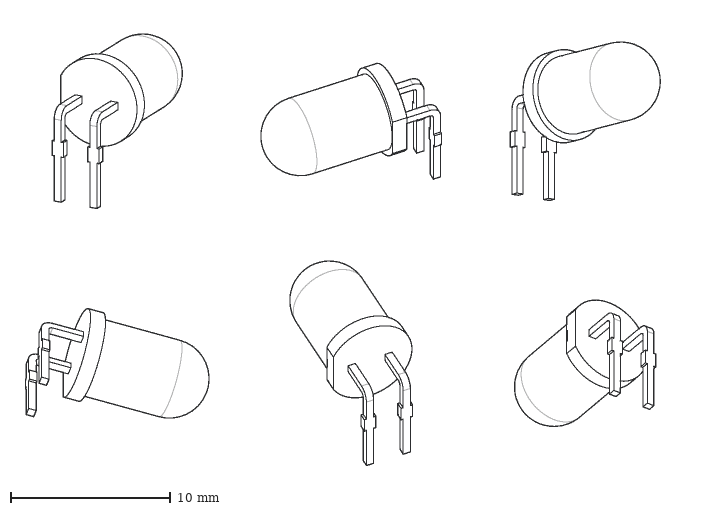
import cadquery as cq

total_length = 11.49
lens_diameter = 5.0
lens_radius = lens_diameter / 2
flange_diameter = 5.79
flange_radius = flange_diameter / 2
flange_thickness = 1.0
flange_flat_offset = 2.54

lead_size = 0.5
lead_pitch = 2.54
lead_reach = 2.79
lead_drop = 5.96
bend_outer_radius = 0.75
bend_inner_radius = bend_outer_radius - lead_size
stop_width = 0.8
stop_height = 0.99
stop_top_drop = 1.96

dome_tip = total_length - lead_reach
dome_start = dome_tip - lens_radius


def make_lens():
    """Flange, cylinder and hemispherical dome, revolved about Y."""
    dome_mid = lens_radius * 0.5 ** 0.5
    lens = (
        cq.Workplane("XY")
        .lineTo(flange_radius, 0)
        .lineTo(flange_radius, flange_thickness)
        .lineTo(lens_radius, flange_thickness)
        .lineTo(lens_radius, dome_start)
        .threePointArc((dome_mid, dome_start + dome_mid), (0, dome_tip))
        .close()
        .revolve(360, (0, 0), (0, 1))
    )
    flat_cutter = cq.Workplane("XY").box(
        flange_radius, total_length * 2, flange_diameter
    ).translate((-flange_flat_offset - flange_radius / 2, 0, 0))
    return lens.cut(flat_cutter)


def make_lead(x_center):
    """One bent lead with its wider stop."""
    top = lead_size / 2
    rear = -lead_reach
    front = rear + lead_size
    bar = (
        cq.Workplane("YZ")
        .moveTo(0, top)
        .lineTo(rear, top)
        .lineTo(rear, -lead_drop)
        .lineTo(front, -lead_drop)
        .lineTo(front, -top)
        .lineTo(0, -top)
        .close()
        .extrude(lead_size / 2, both=True)
    )
    bar = bar.edges(cq.selectors.NearestToPointSelector((0, rear, top))).fillet(bend_outer_radius)
    bar = bar.edges(cq.selectors.NearestToPointSelector((0, front, -top))).fillet(bend_inner_radius)
    stop = cq.Workplane("XY").box(stop_width, lead_size, stop_height).translate(
        (0, rear + lead_size / 2, -stop_top_drop - stop_height / 2)
    )
    return bar.union(stop).translate((x_center, 0, 0))


result = make_lens()
for side in (-1, 1):
    result = result.union(make_lead(side * lead_pitch / 2))